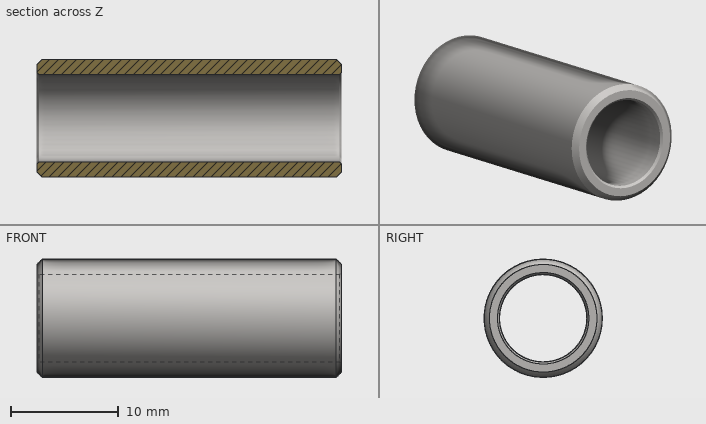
import cadquery as cq

length = 28.3
outer_diameter = 11.0
bore_diameter = 8.1
outer_chamfer = 0.5
bore_chamfer = 0.2


def sleeve_blank():
    """Solid cylinder along X with both end edges chamfered."""
    blank = (
        cq.Workplane("YZ", origin=(-length / 2, 0, 0))
        .circle(outer_diameter / 2)
        .extrude(length)
    )
    return blank.faces("<X or >X").edges().chamfer(outer_chamfer)


def cut_bore(body):
    """Cut the through bore and chamfer its edge at both ends."""
    bored = body.faces("<X").workplane(origin=(0, 0, 0)).hole(bore_diameter)
    for end_face in ("<X", ">X"):
        bore_edge = bored.faces(end_face).val().innerWires()[0].Edges()
        bored = bored.newObject(bore_edge).chamfer(bore_chamfer)
    return bored


result = cut_bore(sleeve_blank())